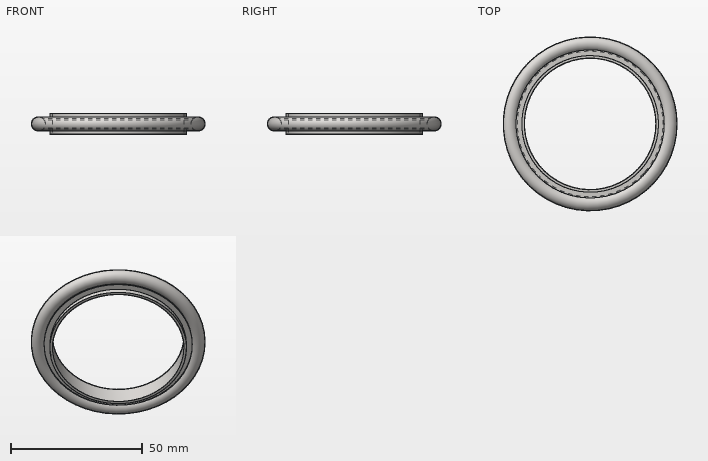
import cadquery as cq

seal_outer_diameter = 66.15
seal_section_diameter = 5.35
bore_diameter = 49.95
sleeve_diameter = 52.0
sleeve_height = 8.0
flange_diameter = 56.4
flange_height = 4.0

seal_centre_radius = (seal_outer_diameter - seal_section_diameter) / 2


def centred_cylinder(diameter, height):
    """Cylinder on the Z axis, symmetric about the XY plane."""
    return cq.Workplane("XY").cylinder(height, diameter / 2)


def make_seal():
    """O-ring of round section, centred on the origin around the Z axis."""
    ring = cq.Solid.makeTorus(seal_centre_radius, seal_section_diameter / 2)
    return cq.Workplane("XY").newObject([ring])


def make_centring_ring(seal):
    """Thin sleeve with a mid-height flange whose rim is hollowed to seat the seal."""
    sleeve = centred_cylinder(sleeve_diameter, sleeve_height)
    flange = centred_cylinder(flange_diameter, flange_height)
    bore = centred_cylinder(bore_diameter, sleeve_height)
    return sleeve.union(flange).cut(bore).cut(seal)


seal = make_seal()
centring_ring = make_centring_ring(seal)

result = cq.Compound.makeCompound([centring_ring.val(), seal.val()])